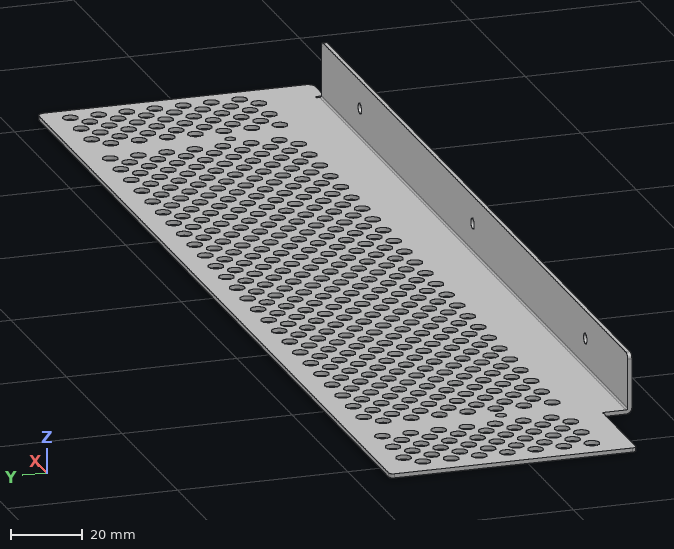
import cadquery as cq

length = 318.3
depth = 81.0
height = 17.8
sheet = 1.3

notch_length = 31.0
notch_depth = 8.5
left_corner_radius = 1.3
right_corner_radius = 2.2

flange_length = 276.0
flange_corner_radius = 1.5
flange_hole_diameter = 3.0
flange_hole_spacing = 101.5
flange_hole_count = 3
middle_flange_hole_x = 170.5
flange_hole_height = 9.5
inner_bend_radius = 0.48
outer_bend_radius = inner_bend_radius + sheet

relief_width = 1.0
relief_depth = 2.5

hole_radius = 2.15
pattern_middle_x = 159.8
row_count = 14
main_columns = 25
main_field_width = 233.0
hole_pitch = main_field_width / (main_columns - 0.5)
row_pitch = 4.0
first_row_y = 19.5
side_columns = 3
side_field_width = (side_columns - 0.5) * hole_pitch
field_gap = 12.0

pilot_diameter = 3.0
pilot_xs = (37.5, 281.5)
pilot_y = 36.3


def field_points(start_x, columns):
    """Hole centres of a staggered field whose leftmost holes are at start_x."""
    return [
        (start_x + hole_pitch * (column + row % 2 / 2), first_row_y + row * row_pitch)
        for row in range(row_count)
        for column in range(columns)
    ]


def make_plate():
    """Flat perforated plate, stopping behind the bend where the flange joins it."""
    main_start = pattern_middle_x - main_field_width / 2
    left_start = main_start - field_gap - side_field_width
    right_start = main_start + main_field_width + field_gap
    perforation = (
        field_points(left_start, side_columns)
        + field_points(main_start, main_columns)
        + field_points(right_start, side_columns)
    )
    pilots = [(x, pilot_y) for x in pilot_xs]
    relief_end = notch_length + flange_length + relief_width

    plate = (
        cq.Workplane("XY")
        .moveTo(0, notch_depth)
        .lineTo(notch_length, notch_depth)
        .lineTo(notch_length, relief_depth)
        .lineTo(relief_end, relief_depth)
        .lineTo(relief_end, 0)
        .lineTo(length, 0)
        .lineTo(length, depth)
        .lineTo(0, depth)
        .close()
        .pushPoints(perforation)
        .circle(hole_radius)
        .pushPoints(pilots)
        .circle(pilot_diameter / 2)
        .extrude(sheet)
    )
    plate = plate.edges("|Z and <X").fillet(left_corner_radius)
    return plate.edges("|Z and >X").fillet(right_corner_radius)


def make_flange():
    """Bend and upright flange, swept along X from an L-shaped section."""
    flange = (
        cq.Workplane("YZ", origin=(notch_length, 0, 0))
        .moveTo(relief_depth, 0)
        .lineTo(outer_bend_radius, 0)
        .radiusArc((0, outer_bend_radius), outer_bend_radius)
        .lineTo(0, height)
        .lineTo(sheet, height)
        .lineTo(sheet, outer_bend_radius)
        .radiusArc((outer_bend_radius, sheet), -inner_bend_radius)
        .lineTo(relief_depth, sheet)
        .close()
        .extrude(flange_length)
    )
    flange = flange.edges("|Y and >Z").fillet(flange_corner_radius)
    holes = (
        cq.Workplane("XZ", origin=(middle_flange_hole_x, 0, flange_hole_height))
        .rarray(flange_hole_spacing, 3.2, flange_hole_count, 1)
        .circle(flange_hole_diameter / 2)
        .extrude(-sheet)
    )
    return flange.cut(holes)


result = make_plate().union(make_flange()).clean()